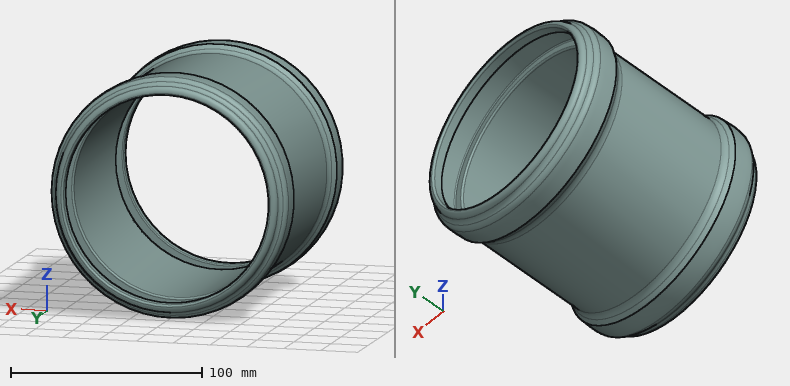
import cadquery as cq

LENGTH = 125.0
HALF = LENGTH / 2

BORE_R = 55.4
MOUTH_R = 55.5
LIP_FACE_R = 56.7
LIP_R = 60.1
GROOVE_R = 60.8
TUBE_R = 60.5
BEAD_FLANK_R = 62.0
BEAD_SHOULDER_R = 64.0
BEAD_R = 64.5

LIP_DEPTH = 2.8
FLANK_DEPTH = 5.8
SHOULDER_DEPTH = 8.9
INNER_SHOULDER_DEPTH = 20.4
INNER_FLANK_DEPTH = 23.2
BEAD_END_DEPTH = 27.5
GROOVE_START = 6.6
GROOVE_END = 20.4

MOUTH_ROUND = LIP_FACE_R - MOUTH_R
GROOVE_LIP_ROUND = 0.6
GROOVE_FLOOR_ROUND = 0.6
BORE_ROUND = 1.0

END_Y = -HALF
CROWN_Y = END_Y + (SHOULDER_DEPTH + INNER_SHOULDER_DEPTH) / 2


def coupling_body():
    """Solid of revolution with the outer shape of the tube, beads and lips, and a plain bore."""
    half_profile = (
        cq.Workplane("XY")
        .moveTo(TUBE_R, 0)
        .lineTo(TUBE_R, END_Y + BEAD_END_DEPTH)
        .tangentArcPoint((BEAD_FLANK_R, END_Y + INNER_FLANK_DEPTH), relative=False)
        .tangentArcPoint((BEAD_SHOULDER_R, END_Y + INNER_SHOULDER_DEPTH), relative=False)
        .threePointArc((BEAD_R, CROWN_Y), (BEAD_SHOULDER_R, END_Y + SHOULDER_DEPTH))
        .tangentArcPoint((BEAD_FLANK_R, END_Y + FLANK_DEPTH), relative=False)
        .tangentArcPoint((LIP_R, END_Y + LIP_DEPTH), relative=False)
        .tangentArcPoint((LIP_FACE_R, END_Y), relative=False)
        .lineTo(BORE_R, END_Y)
        .lineTo(BORE_R, 0)
        .close()
    )
    half = half_profile.revolve(360, (0, 0, 0), (0, 1, 0))
    return half.union(half.mirror("XZ")).clean()


def seal_cavity():
    """Negative of one end's inside: rounded mouth, seal groove and rounded step to the bore."""
    mouth_end = END_Y + GROOVE_START
    step = END_Y + GROOVE_END
    profile = (
        cq.Workplane("XY")
        .moveTo(0, END_Y)
        .lineTo(LIP_FACE_R, END_Y)
        .radiusArc((MOUTH_R, END_Y + MOUTH_ROUND), MOUTH_ROUND)
        .lineTo(MOUTH_R, mouth_end - GROOVE_LIP_ROUND)
        .radiusArc((MOUTH_R + GROOVE_LIP_ROUND, mouth_end), GROOVE_LIP_ROUND)
        .lineTo(GROOVE_R, mouth_end)
        .lineTo(GROOVE_R, step - GROOVE_FLOOR_ROUND)
        .radiusArc((GROOVE_R - GROOVE_FLOOR_ROUND, step), -GROOVE_FLOOR_ROUND)
        .lineTo(BORE_R + BORE_ROUND, step)
        .radiusArc((BORE_R, step + BORE_ROUND), BORE_ROUND)
        .lineTo(0, step + BORE_ROUND)
        .close()
    )
    return profile.revolve(360, (0, 0, 0), (0, 1, 0))


cavity = seal_cavity()
result = coupling_body().cut(cavity).cut(cavity.mirror("XZ"))